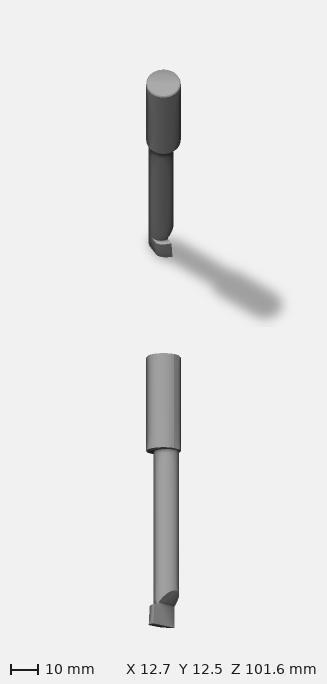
import cadquery as cq
import math

total_length = 101.6
shank_diameter = 12.7
shank_length = 35.6
shank_chamfer = 0.4
shank_flat_depth = 0.2
neck_diameter = 9.3

flat_top_z = 8.4
relief_run_angle = 45.0

head_height = 7.6
corner_x = 6.0
side_taper_angle = 5.0
end_slope_x = 2.4
end_slope_y = 5.5
heel_width = 3.1
bevel_width = 1.2
bevel_height = 0.9
flank_bulge = 0.2

shank_radius = shank_diameter / 2
neck_radius = neck_diameter / 2
neck_x = neck_radius - shank_radius
shank_bottom_z = total_length - shank_length


def make_shank():
    shank = cq.Workplane("XY").workplane(offset=shank_bottom_z).circle(shank_radius).extrude(shank_length)
    shank = shank.faces(">Z").chamfer(shank_chamfer)
    flat_cutter = cq.Workplane("XY").box(
        shank_diameter, shank_flat_depth, total_length, centered=(True, False, False)
    )
    return shank.cut(flat_cutter.translate((0, shank_radius - shank_flat_depth, 0)))


def make_neck():
    neck = cq.Workplane("XY").center(neck_x, 0).circle(neck_radius).extrude(shank_bottom_z)
    relief_rise = neck_diameter * math.tan(math.radians(relief_run_angle))
    relief = (
        cq.Workplane("YZ")
        .polyline([
            (0, 0),
            (neck_diameter, 0),
            (neck_diameter, flat_top_z + relief_rise),
            (0, flat_top_z),
        ])
        .close()
        .extrude(shank_diameter, both=True)
    )
    return neck.cut(relief)


def make_head():
    """Half section with a flat heel, bevel and curved flank, sheared to narrow upward."""
    taper_shift = head_height * math.tan(math.radians(side_taper_angle))
    sections = []
    for z, edge_x in ((0, corner_x), (head_height, corner_x - taper_shift)):
        heel_x = edge_x - heel_width
        section = (
            cq.Workplane("XY", origin=(0, 0, z))
            .moveTo(neck_x, 0)
            .lineTo(neck_x, -neck_radius)
            .lineTo(heel_x, -neck_radius)
            .lineTo(heel_x + bevel_width, bevel_height - neck_radius)
            .sagittaArc((edge_x, 0), -flank_bulge)
            .close()
        )
        sections.append(section.val())
    return cq.Workplane(cq.Solid.makeLoft(sections, True))


def make_end_cutter():
    """Material below the sloped end face, which passes through the cutting corner."""
    normal = cq.Vector(
        math.tan(math.radians(end_slope_x)),
        math.tan(math.radians(end_slope_y)),
        1,
    )
    end_plane = cq.Plane(origin=(corner_x, 0, 0), xDir=(0, 1, 0), normal=normal)
    cutter_width = 4 * shank_diameter
    return cq.Workplane(end_plane).rect(cutter_width, cutter_width).extrude(-shank_diameter)


result = make_shank().union(make_neck()).union(make_head()).cut(make_end_cutter())